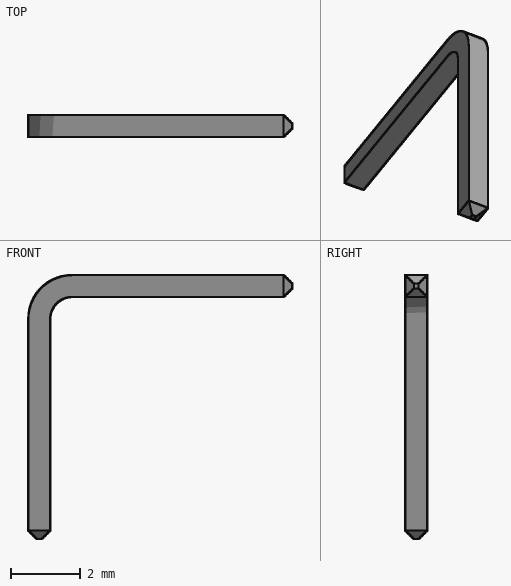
import cadquery as cq
import math

pin_width = 0.64
leg_reach = 7.62
outer_radius = 1.27
tip_length = 0.25

inner_radius = outer_radius - pin_width
leg_length = leg_reach - outer_radius


def bent_wire():
    """Square wire: vertical leg, quarter bend, horizontal leg.

    The origin is the bend centre; the wire is centred on Y = 0.
    """
    diagonal = math.sqrt(0.5)
    outline = (
        cq.Workplane("XZ")
        .moveTo(-outer_radius, -leg_length)
        .lineTo(-outer_radius, 0)
        .threePointArc((-outer_radius * diagonal, outer_radius * diagonal), (0, outer_radius))
        .lineTo(leg_length, outer_radius)
        .lineTo(leg_length, inner_radius)
        .lineTo(0, inner_radius)
        .threePointArc((-inner_radius * diagonal, inner_radius * diagonal), (-inner_radius, 0))
        .lineTo(-inner_radius, -leg_length)
        .close()
    )
    return outline.extrude(pin_width / 2, both=True)


def taper_tip(wire, end_face):
    """Chamfer the four edges of one end face."""
    return wire.faces(end_face).edges().chamfer(tip_length)


result = bent_wire()
for end_face in (">X", "<Z"):
    result = taper_tip(result, end_face)